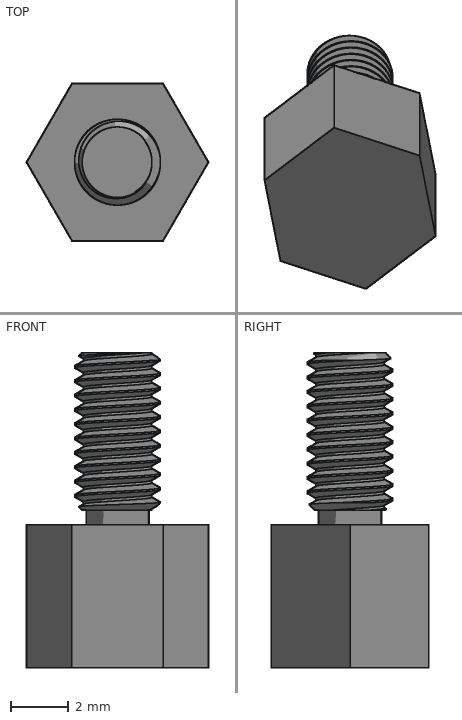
import cadquery as cq
import math

total_height = 11.0
across_flats = 5.5
body_height = total_height * 5 / 11
across_corners = across_flats / math.cos(math.radians(30))

neck_diameter = 2.2
neck_height = body_height / 10

pitch = body_height / 10
major_radius = 0.3 * body_height
thread_depth = 0.3
crest_width = pitch / 8
flank_slope = math.tan(math.radians(30))
end_radius = 1.23
end_chamfer = major_radius - end_radius
thread_start = body_height + neck_height
thread_length = total_height - thread_start

root_radius = major_radius - thread_depth
ridge_sink = 0.02
ridge_overrun = 1.5 * pitch
core_overrun = 2.5 * pitch
trim_clearance = 0.01


def make_ridge():
    """Helical ridge with 60 degree flanks and a narrow flat crest."""
    start_height = thread_start - ridge_overrun
    inner_radius = root_radius - ridge_sink
    crest_half_width = crest_width / 2
    inner_half_width = crest_half_width + (thread_depth + ridge_sink) * flank_slope
    path = cq.Wire.makeHelix(
        pitch, thread_length + 2 * ridge_overrun, root_radius, center=cq.Vector(0, 0, start_height)
    )
    profile = (
        cq.Workplane("XZ")
        .moveTo(inner_radius, start_height - inner_half_width)
        .lineTo(major_radius, start_height - crest_half_width)
        .lineTo(major_radius, start_height + crest_half_width)
        .lineTo(inner_radius, start_height + inner_half_width)
        .close()
    )
    return profile.sweep(cq.Workplane(path), isFrenet=True)


def make_thread():
    """Core and ridge, trimmed to length with a 45 degree chamfer at each end."""
    core = (
        cq.Workplane("XY", origin=(0, 0, thread_start - core_overrun))
        .circle(root_radius)
        .extrude(thread_length + 2 * core_overrun)
    )
    envelope = (
        cq.Workplane("XY", origin=(0, 0, thread_start))
        .circle(major_radius + trim_clearance)
        .extrude(thread_length)
        .faces("<Z or >Z")
        .chamfer(end_chamfer + trim_clearance)
    )
    return core.union(make_ridge(), clean=False).intersect(envelope, clean=False)


body = cq.Workplane("XY").polygon(6, across_corners).extrude(body_height)
neck = cq.Workplane("XY", origin=(0, 0, body_height)).circle(neck_diameter / 2).extrude(neck_height)

result = body.union(neck).union(make_thread(), clean=False)